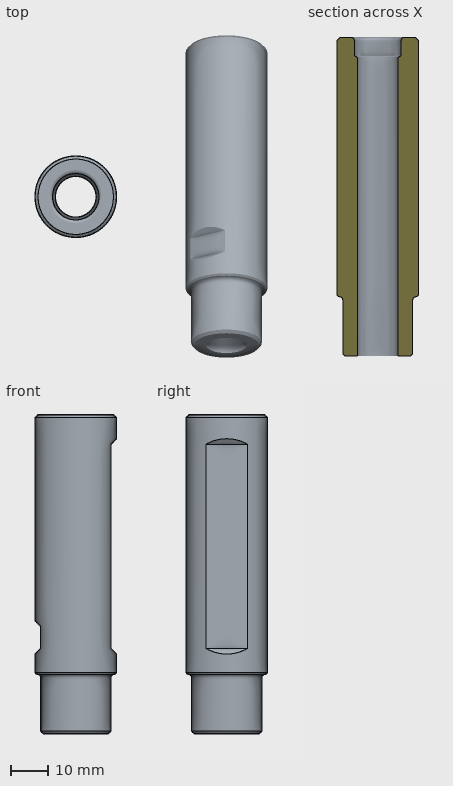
import cadquery as cq
import math

total_length = 86.0
body_diameter = 22.0
body_radius = body_diameter / 2
top_chamfer = 0.85

spigot_diameter = 19.0
spigot_radius = spigot_diameter / 2
spigot_length = 16.0
spigot_chamfer = 0.75
shoulder_chamfer = 0.5
shoulder_fillet = 0.8

bore_diameter = 10.92
counterbore_diameter = 12.5
counterbore_depth = 5.0
counterbore_cone_angle = 120.0
mouth_fillet = 1.0

flat_depth = 1.5
flats_bottom = 23.0
short_flat_length = 6.0
long_flat_length = 55.0


def make_body():
    """Revolved outside of the sleeve, from the spigot end to the top."""
    fillet_offset = shoulder_fillet * (1 - math.sqrt(0.5))
    profile = (
        cq.Workplane("XZ")
        .lineTo(spigot_radius - spigot_chamfer, 0)
        .lineTo(spigot_radius, spigot_chamfer)
        .lineTo(spigot_radius, spigot_length - shoulder_fillet)
        .threePointArc(
            (spigot_radius + fillet_offset, spigot_length - fillet_offset),
            (spigot_radius + shoulder_fillet, spigot_length),
        )
        .lineTo(body_radius - shoulder_chamfer, spigot_length)
        .lineTo(body_radius, spigot_length + shoulder_chamfer)
        .lineTo(body_radius, total_length - top_chamfer)
        .lineTo(body_radius - top_chamfer, total_length)
        .lineTo(0, total_length)
        .close()
    )
    return profile.revolve(360, (0, 0, 0), (0, 1, 0))


def make_bore():
    """Revolved inside of the sleeve: bore, cone, counterbore and rounded mouth."""
    bore_radius = bore_diameter / 2
    counterbore_radius = counterbore_diameter / 2
    cone_top = total_length - counterbore_depth
    half_cone_angle = math.radians(counterbore_cone_angle / 2)
    cone_height = (counterbore_radius - bore_radius) / math.tan(half_cone_angle)
    fillet_offset = mouth_fillet * (1 - math.sqrt(0.5))
    profile = (
        cq.Workplane("XZ")
        .lineTo(bore_radius, 0)
        .lineTo(bore_radius, cone_top - cone_height)
        .lineTo(counterbore_radius, cone_top)
        .lineTo(counterbore_radius, total_length - mouth_fillet)
        .threePointArc(
            (counterbore_radius + fillet_offset, total_length - fillet_offset),
            (counterbore_radius + mouth_fillet, total_length),
        )
        .lineTo(0, total_length)
        .close()
    )
    return profile.revolve(360, (0, 0, 0), (0, 1, 0))


def make_flat_cutter(side, length):
    """Trapezoidal cutter for a flat on the +X (side=1) or -X (side=-1) of the body."""
    floor_x = side * (body_radius - flat_depth)
    outer_x = side * body_radius
    flat_top = flats_bottom + length
    return (
        cq.Workplane("XZ")
        .moveTo(floor_x, flats_bottom)
        .lineTo(outer_x, flats_bottom - flat_depth)
        .lineTo(outer_x, flat_top + flat_depth)
        .lineTo(floor_x, flat_top)
        .close()
        .extrude(body_radius, both=True)
    )


result = (
    make_body()
    .cut(make_bore())
    .cut(make_flat_cutter(-1, short_flat_length))
    .cut(make_flat_cutter(1, long_flat_length))
)